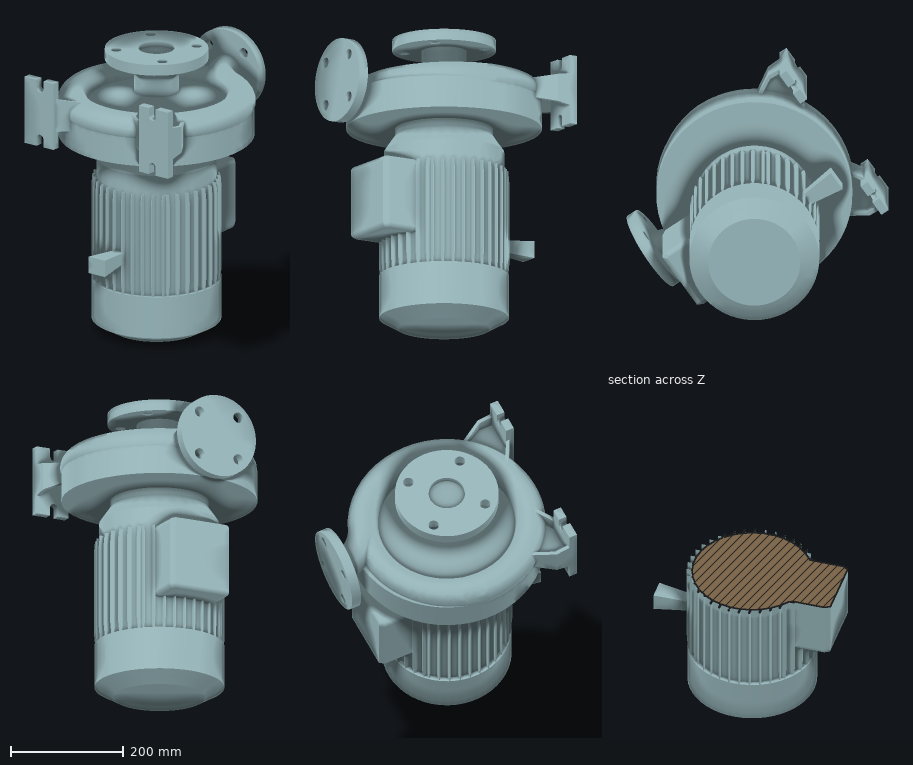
import math

import cadquery as cq


tube_radius = 27.5
casing_outer_radius = 177.0
volute_radius = casing_outer_radius - tube_radius
volute_inner_radius = volute_radius - tube_radius
volute_start_angle = 180.0
tongue_angle = 67.5
tongue_tube_radius = 21.5
taper_sections = 6
drum_radius = 175.0
drum_top = -3.3
drum_bottom = -62.5
drum_chamfer = 2.5

suction_top = 100.0
suction_flange_radius = 92.5
suction_flange_thickness = 20.0
neck_radius = 40.5
neck_base = 20.0
suction_bore_diameter = 65.0
suction_bore_depth = 10.0
suction_bolt_circle = 145.0

outlet_face = 225.0
outlet_flange_radius = 75.0
outlet_flange_thickness = 18.0
outlet_bolt_circle = 110.0

bolt_hole_diameter = 19.0
bolt_count = 4
bolt_start_angle = 45.0

collar_radius = 87.5
collar_bottom = -75.5
frame_radius = 107.5
frame_top = -104.5
cap_radius = 116.0
cap_end_radius = 82.0
fin_top = -140.0
fin_bottom = -331.5
cap_bottom = -409.0
motor_bottom = -428.0
fin_height = 10.0
fin_thickness = 2.0
fin_step_angle = 10.0
fins_per_side = 10
fin_tip_relief = 2.0
fin_relief_length = 20.0

box_half_width = 60.0
box_face = 162.0
box_height = 133.5
box_bevel_depth = 10.0
box_bevel_angle = 30.0
box_fillet = 10.0

bar_end = -178.5
bar_height_centre = -264.0
bar_end_width = 37.0
bar_end_height = 31.0
bar_root = -105.0
bar_root_width = 20.0
bar_root_height = 19.0

foot_face = -180.0
foot_thickness = 15.0
foot_inner = 95.0
foot_outer = 160.0
foot_half_height = 62.5
slot_x = 125.0
slot_width = 15.0
slot_centre_depth = 15.0
rib_thickness = 7.0
rib_bend_y = -140.0
rib_lean_angle = 30.0
outer_rib_reach = 22.0
inner_rib_reach = 46.0
rib_root_half_height = 32.0
rib_end_half_height = 18.0
web_thickness = 6.0


def polar(radius, angle):
    """XY point at a radius and an angle in degrees."""
    return (radius * math.cos(math.radians(angle)), radius * math.sin(math.radians(angle)))


def cylinder(radius, bottom, top):
    return cq.Workplane("XY").workplane(offset=bottom).circle(radius).extrude(top - bottom)


def section_plane(angle):
    """Plane containing the pump axis, facing along the volute at this angle."""
    return cq.Plane(origin=(0, 0, 0), xDir=(*polar(1, angle), 0), normal=(*polar(1, angle + 90), 0))


def bolt_holes(plane, circle, depth):
    return (
        cq.Workplane(plane)
        .polarArray(circle / 2, bolt_start_angle, 360, bolt_count)
        .circle(bolt_hole_diameter / 2)
        .extrude(depth)
    )


def make_turned_body():
    """Suction flange, casing and motor as one revolved profile."""
    cone_slope = neck_base / (volute_inner_radius - neck_radius)
    cone_end = neck_base - cone_slope * (volute_radius - neck_radius)
    flange_bottom = suction_top - suction_flange_thickness
    profile = [
        (0, suction_top),
        (suction_flange_radius, suction_top),
        (suction_flange_radius, flange_bottom),
        (neck_radius, flange_bottom),
        (neck_radius, neck_base),
        (volute_radius, cone_end),
        (volute_radius, drum_top),
        (drum_radius - drum_chamfer, drum_top),
        (drum_radius, drum_top - drum_chamfer),
        (drum_radius, drum_bottom),
        (collar_radius, drum_bottom),
        (collar_radius, collar_bottom),
        (frame_radius, frame_top),
        (frame_radius, fin_bottom),
        (cap_radius, fin_bottom),
        (cap_radius, cap_bottom),
        (cap_end_radius, motor_bottom),
        (0, motor_bottom),
    ]
    return cq.Workplane("XZ").polyline(profile).close().revolve(360, (0, 0, 0), (0, 1, 0))


def make_volute():
    """Full-size tube from the start angle round to the tongue."""
    sweep_angle = 360 - volute_start_angle + tongue_angle
    return (
        cq.Workplane(section_plane(volute_start_angle))
        .center(volute_radius, 0)
        .circle(tube_radius)
        .revolve(sweep_angle, (-volute_radius, 0, 0), (-volute_radius, -1, 0))
    )


def make_tapered_volute():
    """Tube narrowing from the start angle back to the tongue, its inner side kept on one circle."""
    wires = []
    for i in range(taper_sections):
        fraction = i / (taper_sections - 1)
        angle = volute_start_angle + fraction * (tongue_angle - volute_start_angle)
        radius = tube_radius + fraction * (tongue_tube_radius - tube_radius)
        centre = polar(volute_inner_radius + radius, angle)
        wires.append(cq.Wire.makeCircle(radius, cq.Vector(*centre, 0), section_plane(angle).zDir))
    return cq.Workplane(cq.Solid.makeLoft(wires))


def make_outlet():
    """Tube bending from the tongue to the +Y direction on the X = 0 line, and its flange."""
    start_x, start_y = polar(volute_radius, tongue_angle)
    bend_radius = start_x / (1 - math.cos(math.radians(tongue_angle)))
    end_y = start_y + bend_radius * math.sin(math.radians(tongue_angle))
    bend_middle = polar(bend_radius, 180 + tongue_angle / 2)
    path = cq.Workplane("XY").moveTo(start_x, start_y).threePointArc(
        (bend_radius + bend_middle[0], end_y + bend_middle[1]), (0, end_y)
    )
    pipe = (
        cq.Workplane(section_plane(tongue_angle))
        .center(volute_radius, 0)
        .circle(tube_radius)
        .sweep(path)
    )
    flange_plane = cq.Plane(origin=(0, outlet_face, 0), xDir=(1, 0, 0), normal=(0, -1, 0))
    flange = cq.Workplane(flange_plane).circle(outlet_flange_radius).extrude(outlet_flange_thickness)
    flange = flange.cut(bolt_holes(flange_plane, outlet_bolt_circle, outlet_flange_thickness))
    return pipe.union(flange)


def make_fin(offset):
    """Flat fin parallel to the XZ plane at Y = offset, on the +X side of the frame."""
    root = math.sqrt(frame_radius**2 - offset**2)
    tip = root + fin_height
    inside = root - fin_height
    outline = [
        (inside, fin_top),
        (tip - fin_tip_relief, fin_top),
        (tip, fin_top - fin_relief_length),
        (tip, fin_bottom + fin_relief_length),
        (tip - fin_tip_relief, fin_bottom),
        (inside, fin_bottom),
    ]
    return (
        cq.Workplane("XZ", origin=(0, offset, 0))
        .polyline(outline)
        .close()
        .extrude(fin_thickness / 2, both=True)
    )


def make_fins():
    """Ten parallel fins on each of the four sides of the frame."""
    solids = []
    for side in range(4):
        for i in range(fins_per_side):
            angle = (i - (fins_per_side - 1) / 2) * fin_step_angle
            fin = make_fin(frame_radius * math.sin(math.radians(angle)))
            solids.append(fin.rotate((0, 0, 0), (0, 0, 1), 90 * side).val())
    return solids


def make_terminal_box():
    """Box on the +Y side with bevelled outer corners and rounded top and bottom edges."""
    bevel_width = box_bevel_depth * math.tan(math.radians(box_bevel_angle))
    bevel_y = box_face - box_bevel_depth
    box = (
        cq.Workplane("XY", origin=(0, 0, fin_top - box_height))
        .polyline([
            (-box_half_width, 0),
            (-box_half_width, bevel_y),
            (-box_half_width + bevel_width, box_face),
            (box_half_width - bevel_width, box_face),
            (box_half_width, bevel_y),
            (box_half_width, 0),
        ])
        .close()
        .extrude(box_height)
    )
    return box.faces(">Z or <Z").edges("not <Y").fillet(box_fillet)


def make_bar():
    """Rectangular bar that widens away from the motor."""
    root_plane = cq.Plane(origin=(0, bar_root, bar_height_centre), xDir=(1, 0, 0), normal=(0, -1, 0))
    return (
        cq.Workplane(root_plane)
        .rect(bar_root_width, bar_root_height)
        .workplane(offset=bar_root - bar_end)
        .rect(bar_end_width, bar_end_height)
        .loft()
    )


def make_foot():
    """Foot on the +X side: slotted plate, two tapered ribs and a flat web between them."""
    plate_back = foot_face + foot_thickness
    plate = cq.Workplane("XY").box(
        foot_outer - foot_inner, foot_thickness, 2 * foot_half_height, centered=False
    ).translate((foot_inner, foot_face, -foot_half_height))
    slots = (
        cq.Workplane("XZ", origin=(0, plate_back, 0))
        .pushPoints([(slot_x, foot_half_height), (slot_x, -foot_half_height)])
        .slot2D(2 * slot_centre_depth + slot_width, slot_width, 90)
        .extrude(foot_thickness)
    )
    lean = math.tan(math.radians(rib_lean_angle))
    outer_x = foot_outer - outer_rib_reach
    outer_y = rib_bend_y + outer_rib_reach / lean
    inner_x = foot_inner - inner_rib_reach
    inner_y = plate_back + inner_rib_reach * lean
    ribs = (
        cq.Workplane("XY")
        .polyline([
            (foot_outer, plate_back),
            (foot_outer, rib_bend_y),
            (outer_x, outer_y),
            (outer_x - rib_thickness, outer_y),
            (foot_outer - rib_thickness, rib_bend_y),
            (foot_outer - rib_thickness, plate_back),
        ])
        .close()
        .polyline([
            (foot_inner, plate_back),
            (inner_x, inner_y),
            (inner_x, inner_y - rib_thickness),
            (foot_inner, plate_back - rib_thickness),
        ])
        .close()
        .extrude(rib_root_half_height, both=True)
    )
    rib_taper = (
        cq.Workplane("YZ")
        .polyline([
            (foot_face, rib_root_half_height),
            (outer_y, rib_end_half_height),
            (outer_y, -rib_end_half_height),
            (foot_face, -rib_root_half_height),
        ])
        .close()
        .extrude(foot_outer)
    )
    web = (
        cq.Workplane("XY")
        .polyline([
            (foot_inner, plate_back),
            (foot_outer, plate_back),
            (foot_outer, rib_bend_y),
            (outer_x, outer_y),
            (inner_x, inner_y),
        ])
        .close()
        .extrude(web_thickness / 2, both=True)
    )
    return plate.cut(slots).union(ribs.intersect(rib_taper)).union(web)


def make_suction_cuts():
    """Shallow suction bore and the bolt holes of its flange."""
    bore = cylinder(suction_bore_diameter / 2, suction_top - suction_bore_depth, suction_top)
    flange_plane = cq.Plane(
        origin=(0, 0, suction_top - suction_flange_thickness), xDir=(1, 0, 0), normal=(0, 0, 1)
    )
    return bore.union(bolt_holes(flange_plane, suction_bolt_circle, suction_flange_thickness))


foot = make_foot()
result = make_turned_body().union(make_volute()).union(make_tapered_volute()).union(make_outlet())
result = result.union(foot).union(foot.mirror("YZ"))
result = result.union(make_terminal_box()).union(make_bar())
result = cq.Workplane(result.val().fuse(*make_fins()))
result = result.cut(make_suction_cuts())